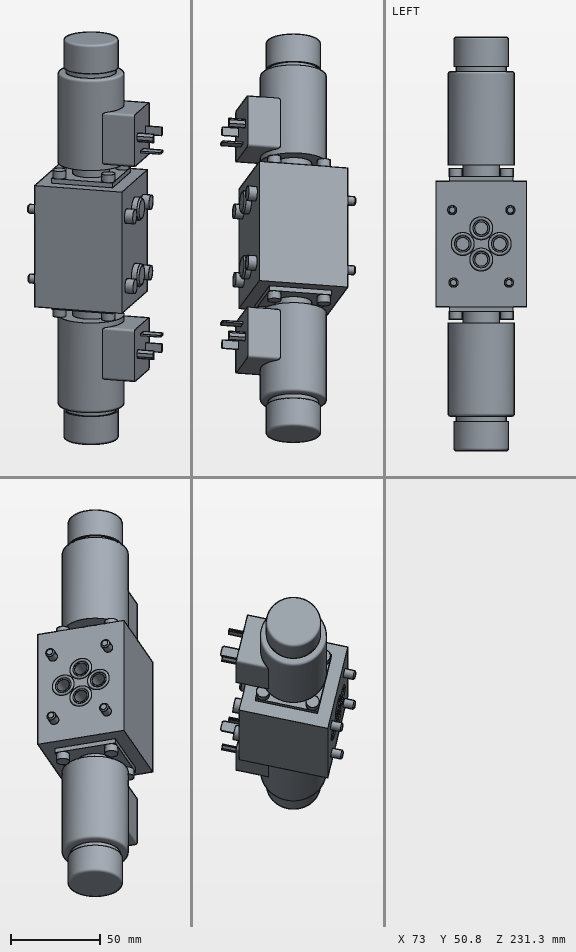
import cadquery as cq

BODY_WIDTH = 50.8
BODY_HEIGHT = 70.2
FACE_X = BODY_WIDTH / 2
BODY_TOP = BODY_HEIGHT / 2

OVERALL_HEIGHT = 231.29
FLANGE_WIDTH = 35.6
FLANGE_THICKNESS = 2.7
FLANGE_TOP = BODY_TOP + FLANGE_THICKNESS
NECK_DIAMETER = 20.6
COIL_DIAMETER = 37.0
COIL_BOTTOM = 44.1
COIL_TOP = 96.3
COIL_ROUNDING = 1.4
COLLAR_DIAMETER = 28.2
CAP_DIAMETER = 30.5
CAP_BOTTOM = 99.1
CAP_TOP = OVERALL_HEIGHT / 2
CAP_ROUNDING = 1.4

FLANGE_SCREW_DIAMETER = 7.4
FLANGE_SCREW_HEIGHT = 4.4
FLANGE_SCREW_OFFSET = 14.2

CONNECTOR_WIDTH = 29.8
CONNECTOR_END_X = 29.6
CONNECTOR_BOTTOM = 47.2
CONNECTOR_TOP = 77.2
CONNECTOR_ROUNDING = 1.4

BLADE_END_X = 38.9
BLADE_CENTRE_Y = 8.7
BLADE_THICKNESS = 2.1
BLADE_HEIGHT = 4.9
BLADE_CENTRE_Z = 62.7
BLADE_CHAMFER = 1.4

EARTH_END_X = 41.28
EARTH_WIDTH = 6.0
EARTH_THICKNESS = 1.0
EARTH_CENTRE_Z = 52.9
EARTH_CHAMFER = 0.8

SCREW_POSITIONS = [(16.25, 18.95), (-16.25, 18.95), (15.5, -21.6), (-15.5, -21.6)]
SCREW_DIAMETER = 5.1
SCREW_TIP_X = -31.75
SCREW_TIP_CHAMFER = 0.8
SCREW_HEAD_DIAMETER = 8.2
SCREW_HEAD_END_X = 30.2

PLUG_DIAMETER = 13.0
PLUG_END_X = 29.6
PLUG_CHAMFER = 1.0
PLUG_OFFSET_Z = 19.2

PORT_POSITIONS = [(10.35, 0), (-10.35, 0), (0, 8.75), (0, -8.75)]
PORT_DIAMETER = 7.3
PORT_DEPTH = 12.0
SEAL_CENTRE_RADIUS = 5.5
SEAL_SECTION_RADIUS = 0.95
SEAL_PROTRUSION = 0.7


def cylinder_z(diameter, bottom, top, x=0, y=0):
    return cq.Workplane("XY", origin=(x, y, bottom)).circle(diameter / 2).extrude(top - bottom)


def cylinder_x(diameter, start, end, y, z):
    return cq.Workplane("YZ", origin=(start, y, z)).circle(diameter / 2).extrude(end - start)


def bar_x(end, width, height, y, z):
    """Rectangular bar running along X from the solenoid axis to the given end."""
    return cq.Workplane("YZ", origin=(0, y, z)).rect(width, height).extrude(end)


def connector():
    middle_z = (CONNECTOR_BOTTOM + CONNECTOR_TOP) / 2
    height = CONNECTOR_TOP - CONNECTOR_BOTTOM
    block = bar_x(CONNECTOR_END_X, CONNECTOR_WIDTH, height, 0, middle_z)
    block = block.edges("|X").fillet(CONNECTOR_ROUNDING)
    for side, outer_edges in ((1, ">Y"), (-1, "<Y")):
        blade = bar_x(BLADE_END_X, BLADE_THICKNESS, BLADE_HEIGHT, side * BLADE_CENTRE_Y, BLADE_CENTRE_Z)
        block = block.union(blade.faces(outer_edges).edges("|X").chamfer(BLADE_CHAMFER))
    earth = bar_x(EARTH_END_X, EARTH_WIDTH, EARTH_THICKNESS, 0, EARTH_CENTRE_Z)
    return block.union(earth.faces(">X").edges("|Z").chamfer(EARTH_CHAMFER))


def solenoid():
    """Upper solenoid: flange, neck, coil, collar, cap, flange screws and connector."""
    flange = cq.Workplane("XY", origin=(0, 0, BODY_TOP)).rect(FLANGE_WIDTH, FLANGE_WIDTH)
    stack = flange.extrude(FLANGE_THICKNESS)
    corners = [(sx * FLANGE_SCREW_OFFSET, sy * FLANGE_SCREW_OFFSET) for sx in (1, -1) for sy in (1, -1)]
    for x, y in corners:
        screw_top = FLANGE_TOP + FLANGE_SCREW_HEIGHT
        stack = stack.union(cylinder_z(FLANGE_SCREW_DIAMETER, FLANGE_TOP, screw_top, x, y))
    stack = stack.union(cylinder_z(NECK_DIAMETER, FLANGE_TOP, COIL_BOTTOM))
    coil = cylinder_z(COIL_DIAMETER, COIL_BOTTOM, COIL_TOP).faces(">Z").edges().fillet(COIL_ROUNDING)
    cap = cylinder_z(CAP_DIAMETER, CAP_BOTTOM, CAP_TOP).faces(">Z").edges().fillet(CAP_ROUNDING)
    collar = cylinder_z(COLLAR_DIAMETER, COIL_TOP, CAP_BOTTOM)
    return stack.union(coil).union(collar).union(cap).union(connector())


def mounting_screw(y, z):
    shank = cylinder_x(SCREW_DIAMETER, SCREW_TIP_X, 0, y, z)
    shank = shank.faces("<X").edges().chamfer(SCREW_TIP_CHAMFER)
    head = cylinder_x(SCREW_HEAD_DIAMETER, 0, SCREW_HEAD_END_X, y, z)
    return shank.union(head)


def plug(z):
    return cylinder_x(PLUG_DIAMETER, 0, PLUG_END_X, 0, z).faces(">X").edges().chamfer(PLUG_CHAMFER)


def seal_ring(y, z):
    centre = cq.Vector(SEAL_SECTION_RADIUS - SEAL_PROTRUSION - FACE_X, y, z)
    ring = cq.Solid.makeTorus(SEAL_CENTRE_RADIUS, SEAL_SECTION_RADIUS, centre, cq.Vector(1, 0, 0))
    return cq.Workplane(obj=ring)


upper_solenoid = solenoid()
result = cq.Workplane("XY").box(BODY_WIDTH, BODY_WIDTH, BODY_HEIGHT)
result = result.union(upper_solenoid).union(upper_solenoid.mirror("XY"))

for screw_y, screw_z in SCREW_POSITIONS:
    result = result.union(mounting_screw(screw_y, screw_z))

for plug_z in (PLUG_OFFSET_Z, -PLUG_OFFSET_Z):
    result = result.union(plug(plug_z))

for port_y, port_z in PORT_POSITIONS:
    result = result.union(seal_ring(port_y, port_z))
    result = result.cut(cylinder_x(PORT_DIAMETER, -FACE_X, PORT_DEPTH - FACE_X, port_y, port_z))